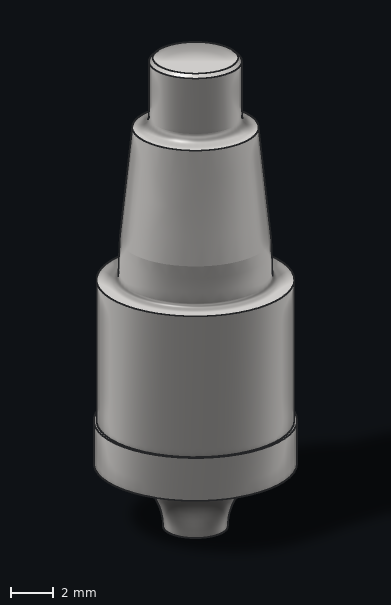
import cadquery as cq
import math

total_height = 23.6
flange_top_height = 5.33
barrel_top_height = 12.42
taper_break_height = 14.5
taper_top_height = 20.1

flange_radius = 9.525 / 2
nose_flare_radius = 3.175
nose_end_radius = 1.52
flange_bottom_height = nose_flare_radius

barrel_radius = 4.63
taper_top_radius = 2.96
upper_taper_angle = math.radians(6)
lower_taper_angle = math.radians(2)
neck_fillet = 0.25
stub_radius = 2.18
stub_fillet = 0.53
stub_chamfer = 0.18

taper_break_radius = taper_top_radius + (
    taper_top_height - taper_break_height
) * math.tan(upper_taper_angle)
neck_base_radius = taper_break_radius + (
    taper_break_height - barrel_top_height
) * math.tan(lower_taper_angle)

axis_start = (0, 0)
axis_end = (0, 1)


def edge_ring_at(height, radius):
    """Selector for the circular edge of the given radius and height around the Z axis."""
    margin = 0.01
    low_corner = (-radius - margin, -radius - margin, height - margin)
    high_corner = (radius + margin, radius + margin, height + margin)
    return cq.selectors.BoxSelector(low_corner, high_corner, boundingbox=True)


def make_tip():
    flare_top_radius = nose_end_radius + nose_flare_radius
    flare_middle = (
        flare_top_radius - nose_flare_radius * math.cos(math.pi / 4),
        nose_flare_radius * math.sin(math.pi / 4),
    )
    return (
        cq.Workplane("XZ")
        .lineTo(nose_end_radius, 0)
        .threePointArc(flare_middle, (flare_top_radius, flange_bottom_height))
        .lineTo(flange_radius, flange_bottom_height)
        .lineTo(flange_radius, flange_top_height)
        .lineTo(0, flange_top_height)
        .close()
        .revolve(360, axis_start, axis_end)
    )


def make_body():
    body = (
        cq.Workplane("XZ")
        .moveTo(0, flange_top_height)
        .lineTo(barrel_radius, flange_top_height)
        .lineTo(barrel_radius, barrel_top_height)
        .lineTo(neck_base_radius, barrel_top_height)
        .lineTo(taper_break_radius, taper_break_height)
        .lineTo(taper_top_radius, taper_top_height)
        .lineTo(stub_radius, taper_top_height)
        .lineTo(stub_radius, total_height)
        .lineTo(0, total_height)
        .close()
        .revolve(360, axis_start, axis_end)
    )
    body = body.edges(edge_ring_at(barrel_top_height, neck_base_radius)).fillet(neck_fillet)
    body = body.edges(edge_ring_at(taper_top_height, stub_radius)).fillet(stub_fillet)
    return body.faces(">Z").edges().chamfer(stub_chamfer)


tip = make_tip()
body = make_body()

result = cq.Compound.makeCompound([tip.val(), body.val()])